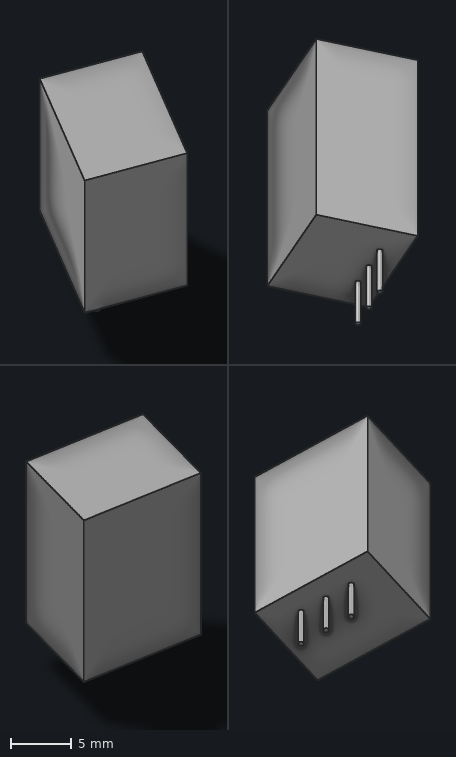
import cadquery as cq

body_width = 11.5
body_depth = 9.0
total_height = 21.6

pin_length = 4.1
pin_diameter = 0.48
pin_pitch = 2.55
pin_count = 3
pin_row_to_front = 2.15

body_height = total_height - pin_length
pin_row_y = pin_row_to_front - body_depth / 2


def make_body():
    """Plain block with its underside on Z = 0."""
    return cq.Workplane("XY").box(
        body_width, body_depth, body_height, centered=(True, True, False)
    )


def make_pins():
    """Evenly spaced pins, centred along X and hanging below the block."""
    return (
        cq.Workplane("XY")
        .center(0, pin_row_y)
        .rarray(pin_pitch, 0.22, pin_count, 1)
        .circle(pin_diameter / 2)
        .extrude(-pin_length)
    )


result = make_body().union(make_pins())